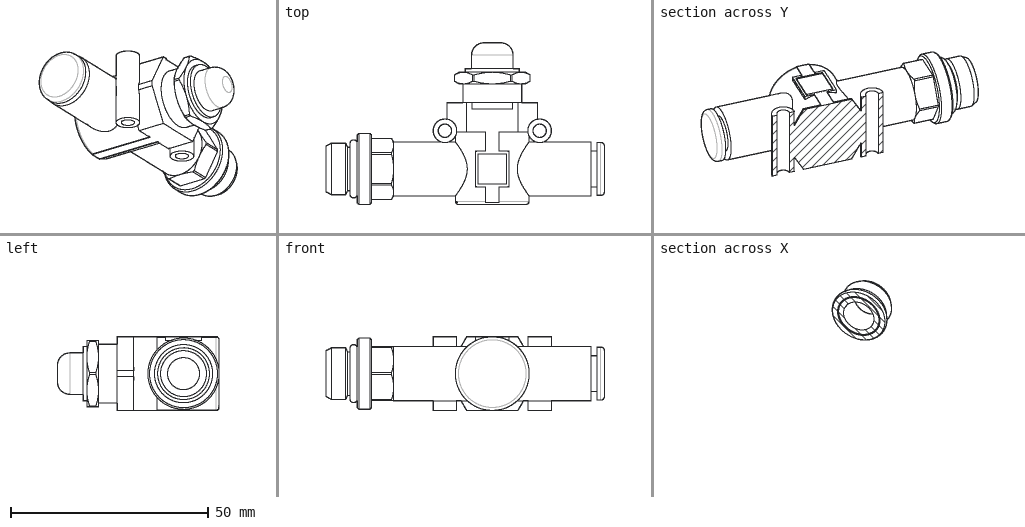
import cadquery as cq
import math


OVERALL_LENGTH = 70.6

TUBE_DIA = 13.8
TUBE_START_X = -25.0
TUBE_END_X = 25.05

BARREL_DIA = 18.7
BARREL_FRONT_Y = -9.05
BARREL_ROUND = 0.8

BLOCK_START_Y = 9.3
BLOCK_END_Y = 16.8
BLOCK_HEIGHT = BARREL_DIA
BLOCK_WIDTH = 22.95
BLOCK_SIDE_FLAT = 1.5
BLOCK_SIDE_ANGLE = 60

NOTCH_WIDTH = 10.2
NOTCH_LENGTH = 1.6
NOTCH_DEPTH = 0.3

PAD_SIZE_X = 8.55
PAD_SIZE_Y = 9.05
PAD_THICKNESS = 0.9
PAD_RIM = 0.7
PAD_RECESS_DEPTH = 0.3
STRIP_WIDTH = 3.4
STRIP_FRONT_Y = -8.55

EYE_DIA = 6.0
EYE_HOLE_DIA = 3.3
EYE_X = 12.0
EYE_Y = 9.7

NECK_DIA = 15.0
NECK_END_Y = 21.5

STUD_END_X = -42.15
STUD_BORE_DIA = 8.1
THREAD_DIA = 13.1
THREAD_FACE_DIA = 11.65
THREAD_LEAD = 1.4
THREAD_END_X = -37.15
GROOVE_DIA = 11.1
GROOVE_START_X = -36.65
COLLAR_DIA = 18.1
COLLAR_START_X = -34.25
COLLAR_END_X = -30.6
COLLAR_CHAMFER = 0.4
BEAD_DIA = 14.75
BEAD_SINK = 0.1
STUD_HEX_FLATS = 13.7
STUD_HEX_CORNER_DIA = 15.5

ADJUSTER_HEX_FLATS = 16.9
ADJUSTER_HEX_CORNER_DIA = 19.2
ADJUSTER_HEX_END_Y = 24.5
FLANGE_DIA = 13.8
FLANGE_END_Y = 25.4
KNOB_DIA = 10.6
KNOB_END_Y = 32.0
KNOB_ROUND = 3.2

HEX_CHAMFER_ANGLE = 30

RELEASE_NECK_DIA = 9.2
RELEASE_RIM_DIA = 13.5
RELEASE_RIM_START_X = 26.5
RELEASE_END_X = STUD_END_X + OVERALL_LENGTH
RELEASE_ROUND = 1.0


def cylinder_x(diameter, start_x, end_x):
    """Cylinder on the X axis between two X positions."""
    return cq.Workplane("YZ", origin=(start_x, 0, 0)).circle(diameter / 2).extrude(end_x - start_x)


def cylinder_y(diameter, start_y, end_y):
    """Cylinder on the Y axis between two Y positions."""
    return cq.Workplane("XZ", origin=(0, start_y, 0)).circle(diameter / 2).extrude(start_y - end_y)


def box_on_top(size_x, start_y, end_y, depth):
    """Box centred on X whose upper face is level with the top of the barrel."""
    size_y = end_y - start_y
    base_z = BARREL_DIA / 2 - depth
    return cq.Workplane("XY", origin=(0, start_y + size_y / 2, base_z)).rect(size_x, size_y).extrude(depth)


def hexagon(flats, corner_dia, length, chamfer_start):
    """Hexagon along Z with trimmed corners, chamfered at the top and optionally at the bottom."""
    corner_circle = flats / math.cos(math.radians(30))
    prism = cq.Workplane("XY").polygon(6, corner_circle).extrude(length)
    flat_radius = flats / 2
    corner_radius = corner_dia / 2
    drop = (corner_radius - flat_radius) * math.tan(math.radians(HEX_CHAMFER_ANGLE))
    envelope = cq.Workplane("XZ").moveTo(0, 0)
    if chamfer_start:
        envelope = envelope.lineTo(flat_radius, 0).lineTo(corner_radius, drop)
    else:
        envelope = envelope.lineTo(corner_radius, 0)
    envelope = envelope.lineTo(corner_radius, length - drop).lineTo(flat_radius, length).lineTo(0, length)
    return prism.intersect(envelope.close().revolve(360, (0, 0, 0), (0, 1, 0)))


def make_block():
    half_height = BLOCK_HEIGHT / 2
    half_width = BLOCK_WIDTH / 2
    half_flat = BLOCK_SIDE_FLAT / 2
    half_top = half_width - (half_height - half_flat) / math.tan(math.radians(BLOCK_SIDE_ANGLE))
    outline = [
        (half_top, half_height),
        (half_width, half_flat),
        (half_width, -half_flat),
        (half_top, -half_height),
        (-half_top, -half_height),
        (-half_width, -half_flat),
        (-half_width, half_flat),
        (-half_top, half_height),
    ]
    block = cq.Workplane("XZ", origin=(0, BLOCK_START_Y, 0)).polyline(outline).close()
    block = block.extrude(BLOCK_START_Y - BLOCK_END_Y)
    return block.cut(box_on_top(NOTCH_WIDTH, BLOCK_END_Y - NOTCH_LENGTH, BLOCK_END_Y, NOTCH_DEPTH))


def make_housing():
    barrel = cylinder_y(BARREL_DIA, BARREL_FRONT_Y, BLOCK_START_Y)
    barrel = barrel.faces("<Y").edges().fillet(BARREL_ROUND)
    housing = barrel.union(cylinder_x(TUBE_DIA, TUBE_START_X, TUBE_END_X))
    housing = housing.union(make_block())
    housing = housing.union(cylinder_y(NECK_DIA, BLOCK_END_Y, NECK_END_Y))

    strip = box_on_top(STRIP_WIDTH, STRIP_FRONT_Y, BLOCK_START_Y, PAD_THICKNESS)
    housing = housing.union(strip).union(strip.mirror("XY"))
    housing = housing.union(box_on_top(PAD_SIZE_X, -PAD_SIZE_Y / 2, PAD_SIZE_Y / 2, PAD_THICKNESS))
    recess_half_y = PAD_SIZE_Y / 2 - PAD_RIM
    housing = housing.cut(
        box_on_top(PAD_SIZE_X - 2 * PAD_RIM, -recess_half_y, recess_half_y, PAD_RECESS_DEPTH)
    )

    eye_points = [(-EYE_X, EYE_Y), (EYE_X, EYE_Y)]
    eye_plane = cq.Workplane("XY", origin=(0, 0, -BARREL_DIA / 2)).pushPoints(eye_points)
    housing = housing.union(eye_plane.circle(EYE_DIA / 2).extrude(BARREL_DIA))
    return housing.cut(eye_plane.circle(EYE_HOLE_DIA / 2).extrude(BARREL_DIA))


def make_stud():
    profile = [
        (STUD_END_X, 0),
        (STUD_END_X, THREAD_FACE_DIA / 2),
        (STUD_END_X + THREAD_LEAD, THREAD_DIA / 2),
        (THREAD_END_X, THREAD_DIA / 2),
        (GROOVE_START_X, GROOVE_DIA / 2),
        (COLLAR_START_X, GROOVE_DIA / 2),
        (COLLAR_START_X, COLLAR_DIA / 2 - COLLAR_CHAMFER),
        (COLLAR_START_X + COLLAR_CHAMFER, COLLAR_DIA / 2),
        (COLLAR_END_X - COLLAR_CHAMFER, COLLAR_DIA / 2),
        (COLLAR_END_X, COLLAR_DIA / 2 - COLLAR_CHAMFER),
        (COLLAR_END_X, 0),
    ]
    stud = cq.Workplane("XY").polyline(profile).close().revolve(360, (0, 0, 0), (1, 0, 0))

    bead_radius = ((BEAD_DIA - GROOVE_DIA) / 2 + BEAD_SINK) / 2
    bead_centre = (COLLAR_START_X + BEAD_SINK - bead_radius, BEAD_DIA / 2 - bead_radius)
    bead = cq.Workplane("XY").moveTo(*bead_centre).circle(bead_radius).revolve(360, (0, 0, 0), (1, 0, 0))
    stud = stud.union(bead)

    hex_length = TUBE_START_X - COLLAR_END_X
    stud_hex = hexagon(STUD_HEX_FLATS, STUD_HEX_CORNER_DIA, hex_length, False)
    stud_hex = stud_hex.rotate((0, 0, 0), (0, 0, 1), 90).rotate((0, 0, 0), (0, 1, 0), 90)
    stud = stud.union(stud_hex.translate((COLLAR_END_X, 0, 0)))
    return stud.cut(cylinder_x(STUD_BORE_DIA, STUD_END_X, TUBE_START_X))


def make_adjuster():
    hex_length = ADJUSTER_HEX_END_Y - NECK_END_Y
    adjuster = hexagon(ADJUSTER_HEX_FLATS, ADJUSTER_HEX_CORNER_DIA, hex_length, True)
    adjuster = adjuster.rotate((0, 0, 0), (1, 0, 0), -90).translate((0, NECK_END_Y, 0))
    adjuster = adjuster.union(cylinder_y(FLANGE_DIA, ADJUSTER_HEX_END_Y, FLANGE_END_Y))
    knob = cylinder_y(KNOB_DIA, FLANGE_END_Y, KNOB_END_Y).faces(">Y").edges().fillet(KNOB_ROUND)
    return adjuster.union(knob)


def make_release_collar():
    neck = cylinder_x(RELEASE_NECK_DIA, TUBE_END_X, RELEASE_RIM_START_X)
    rim = cylinder_x(RELEASE_RIM_DIA, RELEASE_RIM_START_X, RELEASE_END_X)
    return neck.union(rim.faces(">X").edges().fillet(RELEASE_ROUND))


housing = make_housing()
stud = make_stud()
adjuster = make_adjuster()
release_collar = make_release_collar()

result = cq.Compound.makeCompound([housing.val(), stud.val(), adjuster.val(), release_collar.val()])